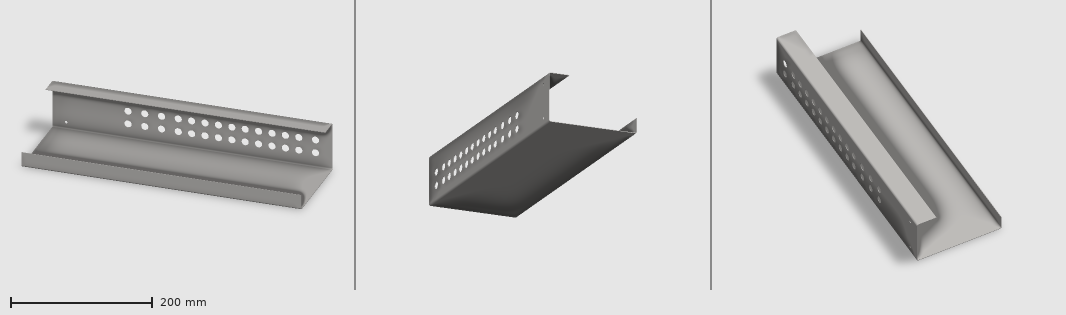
import cadquery as cq

length = 418.0
depth = 136.0
height = 73.0

thickness = 0.8
inner_bend_radius = 2.0
outer_bend_radius = inner_bend_radius + thickness
top_lip_depth = 31.5
front_lip_height = 23.0

hole_diameter = 11.0
first_hole_x = 112.5
hole_span = 280.0
row_span_in_pitches = 14
hole_pitch = hole_span / row_span_in_pitches
wide_pitch = 1.25 * hole_pitch
hole_gaps = 3 * [wide_pitch] + 9 * [hole_pitch] + [wide_pitch]
upper_row_z = 42.5
row_zs = (upper_row_z - hole_pitch, upper_row_z)

pin_hole_diameter = 4.0
pin_hole_x = 20.0
lower_pin_hole_z = 10.5
upper_pin_hole_z = 61.5
pin_hole_zs = (lower_pin_hole_z, upper_pin_hole_z)


def make_channel():
    """Folded sheet: front lip, floor, back wall and top lip, centered in X and Y."""
    front_y = -depth / 2
    back_y = depth / 2
    lip_edge_y = back_y - top_lip_depth

    channel = (
        cq.Workplane("YZ", origin=(-length / 2, 0, 0))
        .moveTo(front_y, front_lip_height)
        .lineTo(front_y, 0)
        .lineTo(back_y, 0)
        .lineTo(back_y, height)
        .lineTo(lip_edge_y, height)
        .lineTo(lip_edge_y, height - thickness)
        .lineTo(back_y - thickness, height - thickness)
        .lineTo(back_y - thickness, thickness)
        .lineTo(front_y + thickness, thickness)
        .lineTo(front_y + thickness, front_lip_height)
        .close()
        .extrude(length)
    )
    corners = ((front_y, 0, 1, 1), (back_y, 0, -1, 1), (back_y, height, -1, -1))
    for y, z, inward_y, inward_z in corners:
        inner_corner = (0, y + inward_y * thickness, z + inward_z * thickness)
        channel = channel.edges(cq.selectors.NearestToPointSelector(inner_corner)).fillet(inner_bend_radius)
        channel = channel.edges(cq.selectors.NearestToPointSelector((0, y, z))).fillet(outer_bend_radius)
    return channel


def back_wall_holes(points, diameter):
    """Cylinders along Y that pass through the back wall only."""
    cut_start_y = depth / 2 - outer_bend_radius
    cut_length = 2 * outer_bend_radius
    return (
        cq.Workplane("XZ", origin=(-length / 2, cut_start_y, 0))
        .pushPoints(points)
        .circle(diameter / 2)
        .extrude(-cut_length)
    )


hole_xs = [first_hole_x]
for gap in hole_gaps:
    hole_xs.append(hole_xs[-1] + gap)

large_hole_points = [(x, z) for z in row_zs for x in hole_xs]
pin_hole_points = [(pin_hole_x, z) for z in pin_hole_zs]

result = (
    make_channel()
    .cut(back_wall_holes(large_hole_points, hole_diameter))
    .cut(back_wall_holes(pin_hole_points, pin_hole_diameter))
)